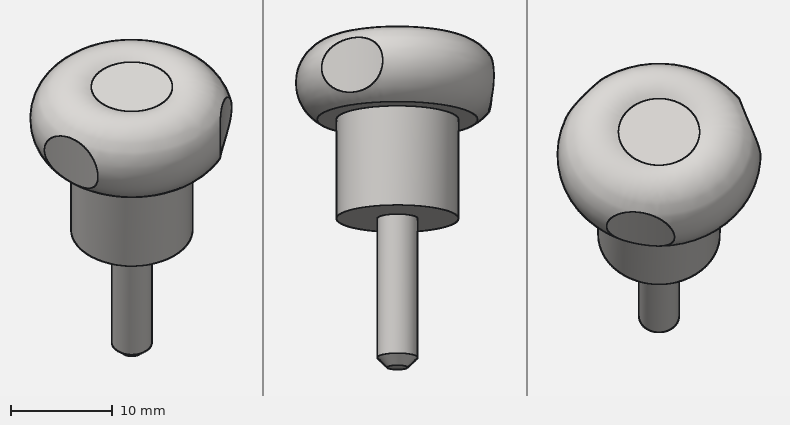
import cadquery as cq
import math

total_height = 33.0
head_height = 8.0
hub_height = 10.0
head_bottom = total_height - head_height
hub_bottom = head_bottom - hub_height

stud_radius = 4.0 / 2
tip_chamfer = 1.0

hub_radius = 12.0 / 2
head_radius = 20.0 / 2
rim_radius = 4.3
rim_center_radius = head_radius - rim_radius
rim_center_z = total_height - rim_radius
dimple_radius = 4.0

scallop_count = 3
scallop_radius = 15.0
scallop_depth = 1.0
first_scallop_angle = -90.0


def rim_point(angle):
    """Point on the rim arc, as radius and height."""
    a = math.radians(angle)
    return (rim_center_radius + rim_radius * math.cos(a), rim_center_z + rim_radius * math.sin(a))


def make_head():
    """Revolved head: a round rim with a shallow flat-bottomed dimple on top."""
    bottom_angle = math.degrees(math.asin((head_bottom - rim_center_z) / rim_radius))
    dimple_angle = math.degrees(math.acos((dimple_radius - rim_center_radius) / rim_radius))
    dimple_edge = rim_point(dimple_angle)
    return (
        cq.Workplane("XZ")
        .moveTo(0, head_bottom)
        .lineTo(*rim_point(bottom_angle))
        .threePointArc(rim_point((bottom_angle + dimple_angle) / 2), dimple_edge)
        .lineTo(0, dimple_edge[1])
        .close()
        .revolve(360, (0, 0), (0, 1))
    )


def make_scallops():
    """Cutters spaced evenly around the head."""
    distance = head_radius - scallop_depth + scallop_radius
    return (
        cq.Workplane("XY")
        .workplane(offset=head_bottom)
        .polarArray(distance, first_scallop_angle, 360, scallop_count)
        .circle(scallop_radius)
        .extrude(head_height)
    )


def make_hub():
    return cq.Workplane("XY").workplane(offset=hub_bottom).circle(hub_radius).extrude(hub_height)


def make_stud():
    """Cylindrical stud with a chamfered tip."""
    return cq.Workplane("XY").circle(stud_radius).extrude(hub_bottom).faces("<Z").chamfer(tip_chamfer)


result = make_head().cut(make_scallops()).union(make_hub()).union(make_stud())